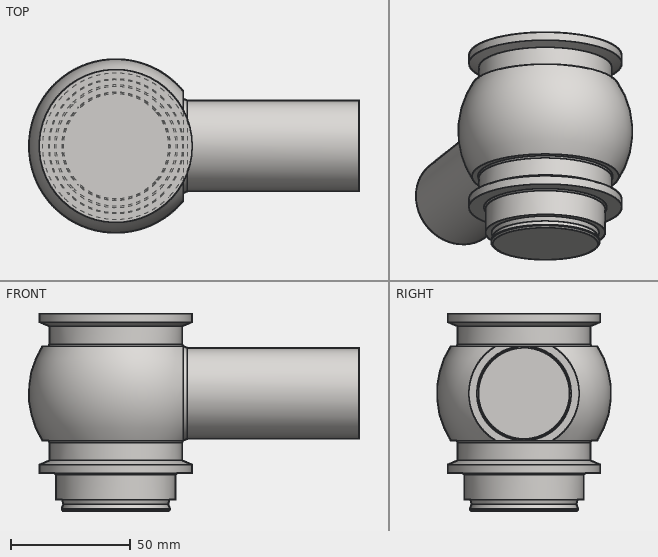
import cadquery as cq

ball_radius = 36.5
ball_half_height = 19.75
outlet_face_x = 28.3

neck_radius = 55.68 / 2
neck_foot_height = 0.85
neck_foot_width = 0.4
flange_radius = 32.0
flange_face_z = 33.375
flange_rim_height = 3.55
flange_taper_height = 1.8

bottom_z = -49.375
barrel_radius = 50.09 / 2
barrel_bottom_z = -44.45
barrel_root_chamfer = 0.7
groove_top_radius = 22.5
groove_radius = 43.97 / 2
groove_z = -46.4
lip_radius = 45.44 / 2
lip_top_z = -48.2
lip_bottom_z = -48.6

pipe_radius = 38.1 / 2
pipe_end_x = 101.85
collar_radius = 19.75
collar_end_x = 30.0


def revolve_about_z(profile_points):
    """Revolve an outline of (radius, z) points around the Z axis."""
    outline = cq.Workplane("XZ").polyline(profile_points).close()
    return outline.revolve(360, (0, 0, 0), (0, 1, 0))


def make_ball():
    """Sphere cut flat above, below and on the pipe side."""
    length = ball_radius + outlet_face_x
    envelope = cq.Workplane("XY").box(length, 2 * ball_radius, 2 * ball_half_height)
    envelope = envelope.translate((outlet_face_x - length / 2, 0, 0))
    return cq.Workplane("XY").sphere(ball_radius).intersect(envelope)


def make_upper_flange():
    """Neck with a chamfered foot, carrying a flange tapered underneath."""
    rim_z = flange_face_z - flange_rim_height
    foot_radius = neck_radius + neck_foot_width
    return revolve_about_z([
        (0, 0),
        (foot_radius, 0),
        (foot_radius, ball_half_height),
        (neck_radius, ball_half_height + neck_foot_height),
        (neck_radius, rim_z - flange_taper_height),
        (flange_radius, rim_z),
        (flange_radius, flange_face_z),
        (0, flange_face_z),
    ])


def make_spigot():
    """Barrel with a chamfered root and a grooved, lipped end."""
    return revolve_about_z([
        (0, -flange_face_z),
        (barrel_radius + barrel_root_chamfer, -flange_face_z),
        (barrel_radius, -flange_face_z - barrel_root_chamfer),
        (barrel_radius, barrel_bottom_z),
        (groove_top_radius, barrel_bottom_z),
        (groove_radius, groove_z),
        (lip_radius, lip_top_z),
        (lip_radius, lip_bottom_z),
        (groove_radius, bottom_z),
        (0, bottom_z),
    ])


def make_pipe():
    """Round pipe with a short conical collar at the ball."""
    outline = cq.Workplane("XY").polyline([
        (0, 0),
        (0, pipe_radius),
        (outlet_face_x, pipe_radius),
        (outlet_face_x, collar_radius),
        (collar_end_x, pipe_radius),
        (pipe_end_x, pipe_radius),
        (pipe_end_x, 0),
    ]).close()
    return outline.revolve(360, (0, 0, 0), (1, 0, 0))


upper_flange = make_upper_flange()
lower_flange = upper_flange.mirror("XY")
body = make_ball().union(upper_flange).union(lower_flange)
result = body.union(make_spigot()).union(make_pipe())